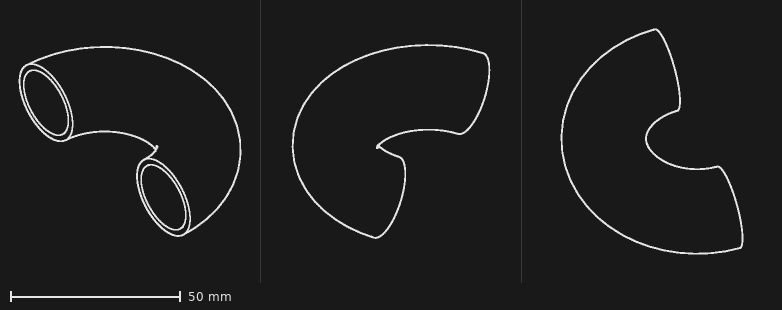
import cadquery as cq

overall_width = 80.0
tube_diameter = 25.0
wall_thickness = 2.0
bend_angle = 180.0

tube_radius = tube_diameter / 2
bore_radius = tube_radius - wall_thickness
bend_radius = overall_width / 2 - tube_radius

tube_section = (
    cq.Workplane("XZ")
    .center(bend_radius, 0)
    .circle(tube_radius)
    .circle(bore_radius)
)

result = tube_section.revolve(bend_angle, (-bend_radius, 0), (-bend_radius, 1))